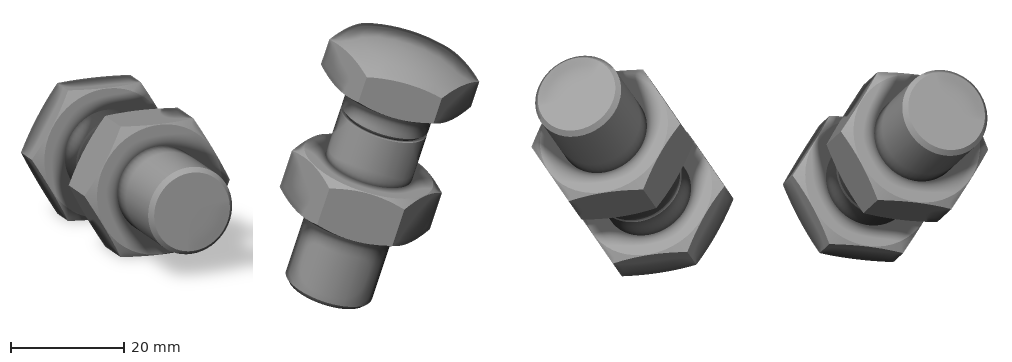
import cadquery as cq
import math

TOTAL_LENGTH = 49.4

ACROSS_FLATS = 24.0
ACROSS_CORNERS = ACROSS_FLATS / math.cos(math.radians(30))
CORNER_RADIUS = ACROSS_CORNERS / 2
CHAMFER_ANGLE = 30.0
FACE_INSET = 0.1
FACE_RADIUS = ACROSS_FLATS / 2 - FACE_INSET
CHAMFER_DEPTH = (CORNER_RADIUS - FACE_RADIUS) * math.tan(math.radians(CHAMFER_ANGLE))

HEAD_LENGTH = 9.45
DOME_SAG = 3.25
SHANK_RADIUS = 8.0
GROOVE_START = 14.65
GROOVE_WIDTH = 0.8
GROOVE_DEPTH = 0.8
TIP_CHAMFER_LENGTH = 0.9
TIP_CHAMFER_DEPTH = 0.8

NUT_START = 24.55
NUT_LENGTH = 9.6


def hexagon_prism(start, length):
    """Hexagonal prism along X, with corners on the Y axis and flats at +/-Z."""
    return (
        cq.Workplane("YZ", origin=(start, 0, 0))
        .polygon(6, ACROSS_CORNERS)
        .extrude(length)
    )


def revolve_about_x(profile):
    """Turn a closed half profile around the X axis."""
    return profile.close().revolve(360, (0, 0, 0), (1, 0, 0))


def make_head():
    """Hexagonal head with a spherical crown and a chamfered underside."""
    sphere_radius = (CORNER_RADIUS**2 + DOME_SAG**2) / (2 * DOME_SAG)
    half_angle = math.asin(CORNER_RADIUS / sphere_radius) / 2
    arc_middle = (
        sphere_radius * (1 - math.cos(half_angle)),
        -sphere_radius * math.sin(half_angle),
    )
    envelope = revolve_about_x(
        cq.Workplane("XY")
        .moveTo(0, 0)
        .threePointArc(arc_middle, (DOME_SAG, -CORNER_RADIUS))
        .lineTo(HEAD_LENGTH - CHAMFER_DEPTH, -CORNER_RADIUS)
        .lineTo(HEAD_LENGTH, -FACE_RADIUS)
        .lineTo(HEAD_LENGTH, 0)
    )
    return hexagon_prism(0, HEAD_LENGTH).intersect(envelope)


def make_shank():
    """Round shank with a one-sided V groove and a chamfered tip."""
    groove_end = GROOVE_START + GROOVE_WIDTH
    return revolve_about_x(
        cq.Workplane("XY")
        .moveTo(HEAD_LENGTH, 0)
        .lineTo(HEAD_LENGTH, -SHANK_RADIUS)
        .lineTo(GROOVE_START, -SHANK_RADIUS)
        .lineTo(groove_end, -(SHANK_RADIUS - GROOVE_DEPTH))
        .lineTo(groove_end, -SHANK_RADIUS)
        .lineTo(TOTAL_LENGTH - TIP_CHAMFER_LENGTH, -SHANK_RADIUS)
        .lineTo(TOTAL_LENGTH, -(SHANK_RADIUS - TIP_CHAMFER_DEPTH))
        .lineTo(TOTAL_LENGTH, 0)
    )


def make_bolt():
    return make_head().union(make_shank())


def make_nut():
    """Hexagonal nut chamfered on both faces, with a bore that fits the shank."""
    nut_end = NUT_START + NUT_LENGTH
    envelope = revolve_about_x(
        cq.Workplane("XY")
        .moveTo(NUT_START, -SHANK_RADIUS)
        .lineTo(NUT_START, -FACE_RADIUS)
        .lineTo(NUT_START + CHAMFER_DEPTH, -CORNER_RADIUS)
        .lineTo(nut_end - CHAMFER_DEPTH, -CORNER_RADIUS)
        .lineTo(nut_end, -FACE_RADIUS)
        .lineTo(nut_end, -SHANK_RADIUS)
    )
    return hexagon_prism(NUT_START, NUT_LENGTH).intersect(envelope)


bolt = make_bolt().solids()
nut = make_nut().solids()
result = cq.Compound.makeCompound([bolt.val(), nut.val()])